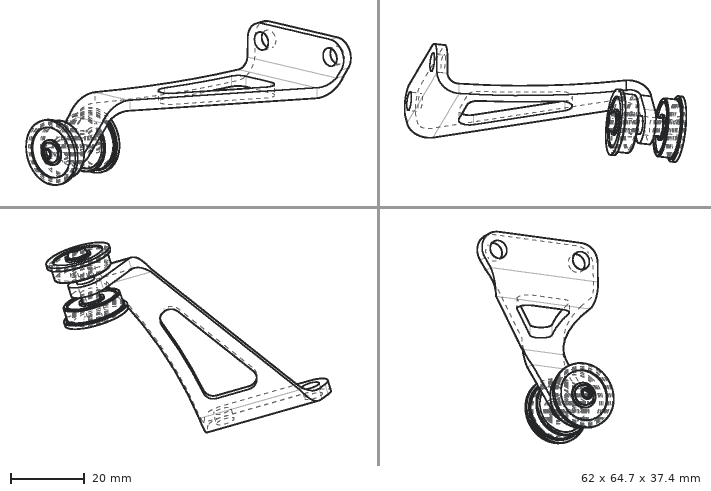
import cadquery as cq
import math


sheet = 3.0
bend_inner_radius = 3.0
bend_outer_radius = bend_inner_radius + sheet
neutral_factor = 0.44
bend_length = math.pi / 2 * (bend_inner_radius + neutral_factor * sheet)
web_top_z = 15.05
web_length = 43.5
edge_radius = 5.0

hole_diameter = 5.0
hole_xs = (23.0, 48.0)
hole_z = 23.43

axle_diameter = 5.0
bearing_gap = 2.5
bearing_width = 5.0
bearing_face_y = sheet / 2 + bearing_gap + bearing_width
bearing_diameter = 16.0
bearing_flange_diameter = 18.0
bearing_flange_width = 1.0
bearing_chamfer = 0.3
bore_chamfer = 0.3
relief_width = 0.3
relief_depth = 0.3
relief_flange_depth = 0.25
shield_inner_diameter = 7.0
shield_outer_diameter = 14.0
shield_recess = 0.5
thread_diameter = 3.0
thread_length = 6.0
head_diameter = 5.7
head_height = 1.65
head_rim = 0.2
head_top_diameter = 3.2
head_bulge = 0.15
socket_flats = 2.0
socket_mouth_diameter = 2.53
socket_mouth_angle = math.radians(30)
socket_depth = 1.04

tab_end = web_top_z - bend_outer_radius
web_start = tab_end + bend_length
web_end = web_start + web_length
flange_start = web_end + bend_length
flange_start_z = web_top_z + bend_inner_radius
hole_s = flange_start + hole_z - flange_start_z
flange_top_s = hole_s + edge_radius

web_start_y = bend_outer_radius - sheet / 2
web_end_y = web_start_y + web_length
flange_back_y = web_end_y + bend_outer_radius

right_edge_angle = math.atan2(hole_xs[1], hole_s)
lean_cos = math.cos(right_edge_angle)
lean_sin = math.sin(right_edge_angle)

left_edge_x = hole_xs[0] - edge_radius
curve_radius = (left_edge_x**2 + hole_s**2 - edge_radius**2) / (2 * (left_edge_x + edge_radius))
curve_center_x = left_edge_x - curve_radius
curve_end_angle = math.atan2(hole_s, -curve_center_x)

window_margin = 4.0
window_corner_radius = 3.0


def left_edge(s):
    """X of the curved left edge at position s."""
    return curve_center_x + math.sqrt(curve_radius**2 - (s - hole_s) ** 2)


def right_edge(s):
    """X of the straight right edge at position s."""
    return (edge_radius + s * lean_sin) / lean_cos


def curve_point(angle, radius):
    """Point at an angle below horizontal on a circle about the left edge's centre."""
    return (curve_center_x + radius * math.cos(angle), hole_s - radius * math.sin(angle))


def make_window():
    """Window cutter that keeps the same margin to both side edges and the upper bend.

    Its lower end is a single round, tangent to the curved left side and the straight right side.
    """
    round_radius = window_corner_radius
    side_radius = curve_radius + window_margin
    top_s = web_end - window_margin
    top_angle = math.asin((hole_s - top_s) / side_radius)
    side_offset = edge_radius - window_margin
    top_right = ((side_offset + top_s * lean_sin) / lean_cos, top_s)

    center_radius = side_radius + round_radius
    curve_center_offset = curve_center_x * lean_cos - hole_s * lean_sin
    offset_from_curve_center = side_offset - round_radius - curve_center_offset
    round_angle = right_edge_angle - math.acos(offset_from_curve_center / center_radius)
    round_x, round_s = curve_point(round_angle, center_radius)
    middle_angle = (round_angle + right_edge_angle) / 2
    round_bottom = (
        round_x - round_radius * math.sin(middle_angle),
        round_s - round_radius * math.cos(middle_angle),
    )
    round_end = (round_x + round_radius * lean_cos, round_s - round_radius * lean_sin)

    return (
        cq.Workplane("XY")
        .moveTo(*top_right)
        .lineTo(*curve_point(top_angle, side_radius))
        .threePointArc(
            curve_point((top_angle + round_angle) / 2, side_radius),
            curve_point(round_angle, side_radius),
        )
        .threePointArc(round_bottom, round_end)
        .close()
        .extrude(sheet)
        .edges("|Z and >Y")
        .fillet(window_corner_radius)
    )


def make_flat_blank():
    """The bracket before bending, with the axle hole, mounting holes and window."""
    right_hole_x = hole_xs[1]
    diagonal = edge_radius * math.sqrt(0.5)
    tangent_x = edge_radius * lean_cos
    tangent_s = -edge_radius * lean_sin
    outline = (
        cq.Workplane("XY")
        .moveTo(tangent_x, tangent_s)
        .lineTo(right_hole_x + tangent_x, hole_s + tangent_s)
        .threePointArc((right_hole_x + diagonal, hole_s + diagonal), (right_hole_x, flange_top_s))
        .lineTo(hole_xs[0], flange_top_s)
        .threePointArc((hole_xs[0] - diagonal, hole_s + diagonal), (left_edge_x, hole_s))
        .threePointArc(
            curve_point(curve_end_angle / 2, curve_radius),
            curve_point(curve_end_angle, curve_radius),
        )
        .threePointArc((0, -edge_radius), (tangent_x, tangent_s))
        .close()
        .extrude(sheet)
    )
    axle_hole = cq.Workplane("XY").circle(axle_diameter / 2).extrude(sheet)
    mounting_holes = (
        cq.Workplane("XY")
        .pushPoints([(x, hole_s) for x in hole_xs])
        .circle(hole_diameter / 2)
        .extrude(sheet)
    )
    return outline.cut(axle_hole).cut(mounting_holes).cut(make_window())


def flat_piece(blank, start, end):
    """Part of the blank between two positions, moved so that it starts at S = 0."""
    width = 4 * hole_xs[1]
    band = cq.Workplane("XY").box(width, end - start, sheet, centered=(True, False, False))
    return blank.intersect(band.translate((0, start, 0))).translate((0, -start, 0))


def stand_up(piece):
    """Turn a flat piece upright, with its top face toward -Y."""
    return piece.rotate((0, 0, 0), (1, 0, 0), 90)


def make_bend(axis_y, axis_z, start_angle, turn, start_s):
    """Quarter-turn bend between the side edges of the sheet as they wrap around it.

    turn is +1 or -1, the sense in which the angle in the YZ plane grows along the sheet.
    """

    def ring_point(radius, sweep):
        angle = math.radians(start_angle + turn * sweep)
        return (axis_y + radius * math.cos(angle), axis_z + radius * math.sin(angle))

    def side_face(edge_x):
        overlap = 0.5
        step = 5
        rails = []
        for radius in (bend_inner_radius - overlap, bend_outer_radius + overlap):
            points = []
            for sweep in range(-step, 90 + 2 * step, step):
                x = edge_x(start_s + bend_length * sweep / 90)
                points.append(cq.Vector(x, *ring_point(radius, sweep)))
            rails.append(cq.Edge.makeSpline(points))
        return cq.Face.makeRuledSurface(*rails)

    length = 2 * hole_xs[1]
    quarter = (
        cq.Workplane("YZ")
        .moveTo(*ring_point(bend_inner_radius, 0))
        .threePointArc(ring_point(bend_inner_radius, 45), ring_point(bend_inner_radius, 90))
        .lineTo(*ring_point(bend_outer_radius, 90))
        .threePointArc(ring_point(bend_outer_radius, 45), ring_point(bend_outer_radius, 0))
        .close()
        .extrude(length, both=True)
    )
    pieces = quarter.val().split(side_face(left_edge), side_face(right_edge)).Solids()
    return cq.Workplane(obj=sorted(pieces, key=lambda piece: piece.Center().x)[1])


def make_bracket():
    """Tab, lower bend, web, upper bend and mounting flange as one sheet."""
    blank = make_flat_blank()
    tab = stand_up(flat_piece(blank, -edge_radius, tab_end)).translate((0, sheet / 2, -edge_radius))
    web = flat_piece(blank, web_start, web_end).translate((0, web_start_y, web_top_z - sheet))
    flange = stand_up(flat_piece(blank, flange_start, flange_top_s))
    flange = flange.translate((0, flange_back_y, flange_start_z))
    lower_bend = make_bend(web_start_y, tab_end, 180, -1, tab_end)
    upper_bend = make_bend(web_end_y, flange_start_z, -90, 1, web_end)
    return tab.union(lower_bend).union(web).union(upper_bend).union(flange)


def make_axle():
    """Plain axle as long as the bearing pair, with a plain screw hole in each end."""
    axle = cq.Workplane("XZ").circle(axle_diameter / 2).extrude(bearing_face_y, both=True)
    for side in (1, -1):
        hole = cq.Workplane("XZ", origin=(0, side * bearing_face_y, 0)).circle(thread_diameter / 2)
        axle = axle.cut(hole.extrude(side * thread_length))
    return axle


def turned(profile):
    """Revolve an XY profile about the Y axis."""
    return profile.close().revolve(360, (0, 0, 0), (0, 1, 0))


def make_bearing():
    """Flanged ball bearing with recessed shields, its flange on the outside at +Y."""
    outer_y = bearing_face_y
    inner_y = outer_y - bearing_width
    flange_y = outer_y - bearing_flange_width
    bore = axle_diameter / 2
    rim = bearing_diameter / 2
    flange_rim = bearing_flange_diameter / 2
    bearing = turned(
        cq.Workplane("XY")
        .moveTo(bore + bore_chamfer, inner_y)
        .lineTo(rim - bearing_chamfer, inner_y)
        .lineTo(rim, inner_y + bearing_chamfer)
        .lineTo(rim, flange_y - relief_width)
        .lineTo(rim - relief_depth, flange_y - relief_width)
        .lineTo(rim - relief_depth, flange_y + relief_flange_depth)
        .lineTo(rim + relief_depth, flange_y + relief_flange_depth)
        .lineTo(rim + relief_depth, flange_y)
        .lineTo(flange_rim, flange_y)
        .lineTo(flange_rim, outer_y)
        .lineTo(bore + bore_chamfer, outer_y)
        .lineTo(bore, outer_y - bore_chamfer)
        .lineTo(bore, inner_y + bore_chamfer)
    )
    for recess_y in (inner_y + shield_recess, outer_y):
        recess = (
            cq.Workplane("XZ", origin=(0, recess_y, 0))
            .circle(shield_outer_diameter / 2)
            .circle(shield_inner_diameter / 2)
            .extrude(shield_recess)
        )
        bearing = bearing.cut(recess)
    return bearing


def make_screw():
    """Button-head screw with a hexagon socket, its head outside the bearing at +Y."""
    seat_y = bearing_face_y
    top_y = seat_y + head_height
    head_radius = head_diameter / 2
    top_radius = head_top_diameter / 2
    dome_width = head_radius - top_radius
    dome_height = head_height - head_rim
    chord = math.hypot(dome_width, dome_height)
    dome_middle = (
        (head_radius + top_radius) / 2 + head_bulge * dome_height / chord,
        seat_y + head_rim + dome_height / 2 + head_bulge * dome_width / chord,
    )
    screw = turned(
        cq.Workplane("XY")
        .moveTo(0, seat_y - thread_length)
        .lineTo(thread_diameter / 2, seat_y - thread_length)
        .lineTo(thread_diameter / 2, seat_y)
        .lineTo(head_radius, seat_y)
        .lineTo(head_radius, seat_y + head_rim)
        .threePointArc(dome_middle, (top_radius, top_y))
        .lineTo(0, top_y)
    )
    socket_corners = socket_flats / math.cos(math.pi / 6)
    socket = (
        cq.Workplane("XZ", origin=(0, top_y, 0))
        .transformed(rotate=(0, 0, 90))
        .polygon(6, socket_corners)
        .extrude(socket_depth)
    )
    mouth_radius = socket_mouth_diameter / 2
    mouth = turned(
        cq.Workplane("XY")
        .moveTo(0, top_y)
        .lineTo(mouth_radius, top_y)
        .lineTo(0, top_y - mouth_radius * math.tan(socket_mouth_angle))
    )
    return screw.cut(socket).cut(mouth)


bracket = make_bracket()
axle = make_axle()
bearings = []
screws = []
for side_angle in (0, 180):
    bearings.append(make_bearing().rotate((0, 0, 0), (0, 0, 1), side_angle))
    screws.append(make_screw().rotate((0, 0, 0), (0, 0, 1), side_angle))

result = cq.Compound.makeCompound(
    [bracket.val(), axle.val()]
    + [bearing.val() for bearing in bearings]
    + [screw.val() for screw in screws]
)